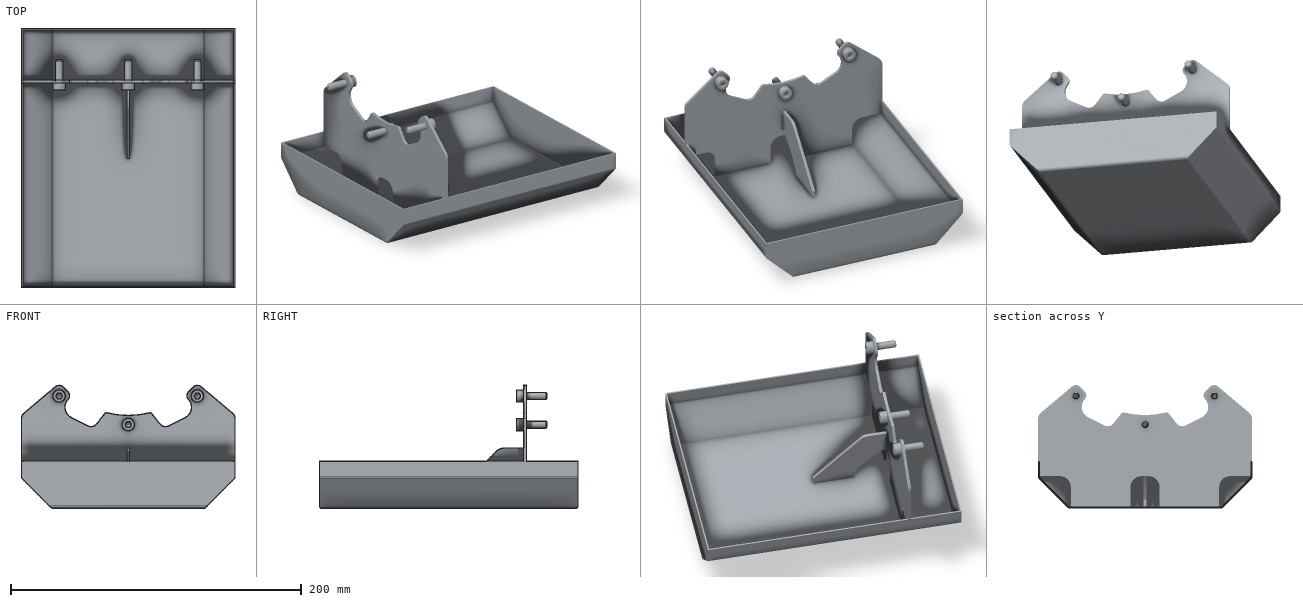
import cadquery as cq
import math

TRAY_WIDTH = 147.0
TRAY_LENGTH = 178.0
TRAY_HEIGHT = 32.5
SHEET = 1.0
SLOPE_RISE = 21.0
SLOPE_ANGLE = 45.0
BEND_RADIUS = 2.0
INNER_BEND_RADIUS = BEND_RADIUS - SHEET
HALF_WIDTH = TRAY_WIDTH / 2
HALF_FLOOR = HALF_WIDTH - SLOPE_RISE

PLATE_FRONT_Y = 51.5
PLATE_THICKNESS = 2.0

BOLT_CIRCLE_RADIUS = 67.2
BOLT_ANGLE = 45.0
LOW_SCREW_Z = 57.6
BOLT_CENTRE_Z = LOW_SCREW_Z + BOLT_CIRCLE_RADIUS
CLEARANCE_DIAMETER = 5.5
SHANK_DIAMETER = 5.0
SHANK_LENGTH = 16.0
SHANK_CHAMFER = 0.8
HEAD_DIAMETER = 8.5
HEAD_HEIGHT = 5.0
HEAD_ROUND = 0.4
SOCKET_ACROSS_FLATS = 4.0
SOCKET_SIDES = 6
SOCKET_DEPTH = 2.5
SOCKET_CONE_DEPTH = 1.2

CENTRE_ARC_RADIUS = 60.8
CENTRE_ARC_HALF_WIDTH = 15.6
CENTRE_ARC_END_Z = BOLT_CENTRE_Z - math.sqrt(CENTRE_ARC_RADIUS**2 - CENTRE_ARC_HALF_WIDTH**2)
SHOULDER = (HALF_WIDTH, 64.0)
SHOULDER_RADIUS = 5.0
EAR_TIP = (47.3, 86.07)
EAR_TIP_RADIUS = 4.0
EAR_INNER = (38.6, 77.6)
EAR_INNER_RADIUS = 4.0
BAY_OUTER = (48.9, 67.4)
BAY_OUTER_RADIUS = 8.0
BAY_LOW = (24.2, 55.0)
BAY_LOW_RADIUS = 5.0
HOLLOW_END = (CENTRE_ARC_HALF_WIDTH, CENTRE_ARC_END_Z)
HOLLOW_END_RADIUS = 1.5

OPENING_TOP_Z = 22.0
OPENING_RADIUS = 7.5
CENTRE_OPENING_WIDTH = 20.0
SIDE_OPENING_X = 51.0

RIB_THICKNESS = 2.0
RIB_TOP_Z = 41.6
RIB_FRONT_Y = -0.5
RIB_TOE_HEIGHT = 5.0
RIB_TOP_ROUND = 8.0
RIB_UNDERSIDE_Z = 24.7
RIB_HEEL_Y = 28.5
RIB_ARC_START_Y = 47.5
RIB_ARC_MIDDLE = (36.2, 15.9)
RIB_ARC_END_Z = 6.0


def tray_section(offset):
    """Closed XZ section of the tray, moved inward by offset."""
    half = HALF_WIDTH - offset
    corner_shift = offset * math.tan(math.radians(SLOPE_ANGLE / 2))
    slope_top = SLOPE_RISE + corner_shift
    floor_half = HALF_FLOOR - corner_shift
    return [
        (-half, TRAY_HEIGHT),
        (-half, slope_top),
        (-floor_half, offset),
        (floor_half, offset),
        (half, slope_top),
        (half, TRAY_HEIGHT),
    ]


def trough(offset, bend_radius):
    """Solid filling the tray, moved inward by offset, with all its folds rounded."""
    length = TRAY_LENGTH - 2 * offset
    section = cq.Workplane("XZ").polyline(tray_section(offset)).close().extrude(length / 2, both=True)
    section = section.edges("|Y and (not >Z)").fillet(bend_radius)
    end_folds = (
        cq.Workplane("XY", origin=(0, 0, offset))
        .box(TRAY_WIDTH, length, TRAY_HEIGHT, centered=(True, True, False))
        .edges("|X and <Z")
        .fillet(bend_radius)
    )
    return section.intersect(end_folds)


def make_tray():
    outside = trough(0, BEND_RADIUS)
    inside = trough(SHEET, INNER_BEND_RADIUS)
    return outside.cut(inside)


def round_corner_pair(body, corner, radius):
    """Round the plate edges through (+x, z) and (-x, z)."""
    x, z = corner
    reach = 0.1
    for side_x in (x, -x):
        box = cq.selectors.BoxSelector(
            (side_x - reach, PLATE_FRONT_Y - reach, z - reach),
            (side_x + reach, PLATE_FRONT_Y + PLATE_THICKNESS + reach, z + reach),
        )
        body = body.edges("|Y").edges(box).fillet(radius)
    return body


def opening(x_min, x_max):
    """Cutter for a drain opening: a slot from the floor up with rounded top corners."""
    return (
        cq.Workplane("XY")
        .box(x_max - x_min, PLATE_THICKNESS, OPENING_TOP_Z, centered=False)
        .edges("|Y and >Z")
        .fillet(OPENING_RADIUS)
        .translate((x_min, PLATE_FRONT_Y, 0))
    )


def make_plate():
    rounded_corners = [
        (SHOULDER, SHOULDER_RADIUS),
        (EAR_TIP, EAR_TIP_RADIUS),
        (EAR_INNER, EAR_INNER_RADIUS),
        (BAY_OUTER, BAY_OUTER_RADIUS),
        (BAY_LOW, BAY_LOW_RADIUS),
        (HOLLOW_END, HOLLOW_END_RADIUS),
    ]
    right = [corner for corner, _ in rounded_corners]
    left = [(-x, z) for x, z in reversed(right)]
    outline = cq.Workplane("XZ", origin=(0, PLATE_FRONT_Y, 0)).moveTo(HALF_WIDTH, SHEET)
    for corner in right:
        outline = outline.lineTo(*corner)
    outline = outline.threePointArc((0, BOLT_CENTRE_Z - CENTRE_ARC_RADIUS), left[0])
    for corner in left[1:]:
        outline = outline.lineTo(*corner)
    plate = outline.lineTo(-HALF_WIDTH, SHEET).close().extrude(-PLATE_THICKNESS)

    for corner, radius in rounded_corners:
        plate = round_corner_pair(plate, corner, radius)

    overhang = HALF_WIDTH + OPENING_RADIUS
    plate = plate.cut(opening(-CENTRE_OPENING_WIDTH / 2, CENTRE_OPENING_WIDTH / 2))
    plate = plate.cut(opening(SIDE_OPENING_X, overhang))
    return plate.cut(opening(-overhang, -SIDE_OPENING_X))


def make_rib():
    slope_run = RIB_TOP_Z - SHEET - RIB_TOE_HEIGHT
    rib = (
        cq.Workplane("YZ")
        .moveTo(PLATE_FRONT_Y, RIB_TOP_Z)
        .lineTo(RIB_FRONT_Y + slope_run, RIB_TOP_Z)
        .lineTo(RIB_FRONT_Y, SHEET + RIB_TOE_HEIGHT)
        .lineTo(RIB_FRONT_Y, SHEET)
        .lineTo(RIB_HEEL_Y, SHEET)
        .lineTo(RIB_HEEL_Y, RIB_ARC_END_Z)
        .threePointArc(RIB_ARC_MIDDLE, (RIB_ARC_START_Y, RIB_UNDERSIDE_Z))
        .lineTo(PLATE_FRONT_Y, RIB_UNDERSIDE_Z)
        .close()
        .extrude(RIB_THICKNESS / 2, both=True)
    )
    top_break = (0, RIB_FRONT_Y + slope_run, RIB_TOP_Z)
    return rib.edges("|X").edges(cq.selectors.NearestToPointSelector(top_break)).fillet(RIB_TOP_ROUND)


def make_screw():
    """Socket head screw along +Y with the underside of its head at y = 0."""
    axial = cq.Workplane("XZ")
    head = axial.circle(HEAD_DIAMETER / 2).extrude(HEAD_HEIGHT).faces("<Y").edges().fillet(HEAD_ROUND)
    shank = axial.circle(SHANK_DIAMETER / 2).extrude(-SHANK_LENGTH).faces(">Y").edges().chamfer(SHANK_CHAMFER)
    hexagon_diameter = SOCKET_ACROSS_FLATS / math.cos(math.pi / SOCKET_SIDES)
    socket = (
        cq.Workplane("XZ", origin=(0, -HEAD_HEIGHT, 0))
        .polygon(SOCKET_SIDES, hexagon_diameter)
        .extrude(-SOCKET_DEPTH)
    )
    cone = cq.Workplane(
        cq.Solid.makeCone(
            SOCKET_ACROSS_FLATS / 2,
            0,
            SOCKET_CONE_DEPTH,
            pnt=cq.Vector(0, SOCKET_DEPTH - HEAD_HEIGHT, 0),
            dir=cq.Vector(0, 1, 0),
        )
    )
    return head.union(shank).cut(socket).cut(cone)


def screw_positions():
    positions = []
    for angle in (-BOLT_ANGLE, 0, BOLT_ANGLE):
        turn = math.radians(angle)
        x = BOLT_CIRCLE_RADIUS * math.sin(turn)
        z = BOLT_CENTRE_Z - BOLT_CIRCLE_RADIUS * math.cos(turn)
        positions.append((x, PLATE_FRONT_Y, z))
    return positions


result = make_tray().union(make_plate()).union(make_rib())
for position in screw_positions():
    clearance_hole = cq.Workplane("XZ").circle(CLEARANCE_DIAMETER / 2).extrude(-PLATE_THICKNESS)
    result = result.cut(clearance_hole.translate(position))
    result = result.union(make_screw().translate(position))